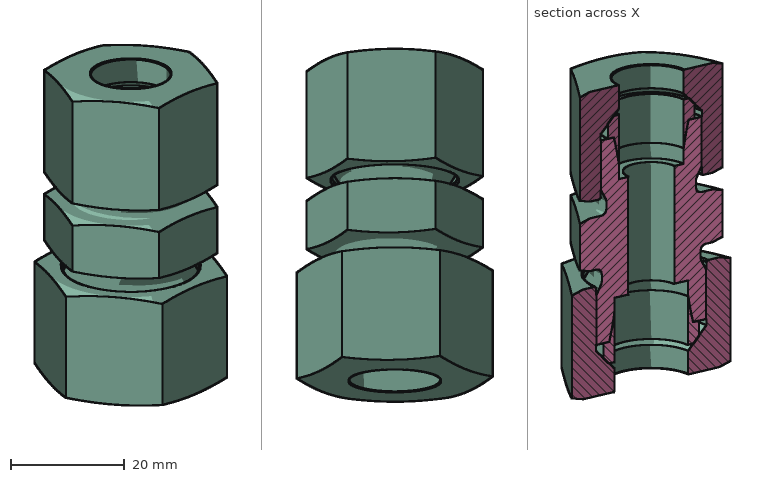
import cadquery as cq
import math


total_length = 57.0
nut_length = 20.5
nut_gap = 3.0
hex_bottom = nut_length + nut_gap
hex_top = total_length - hex_bottom

lower_tube_dia = 16.0
lower_thread_dia = 24.0
lower_nut_flats = 30.0

upper_tube_dia = 14.0
upper_thread_dia = 22.0
upper_nut_flats = 26.95

body_flats = upper_nut_flats
through_bore_dia = 10.0
spigot_length = 14.0
tube_stop_depth = 8.0
socket_half_angle = 12.0
neck_depth = 1.15
neck_length = 2.4
neck_round = 1.0
flank_angle = 30.0

corner_chamfer_angle = 15.0
chamfer_circle_inset = 0.1
bore_chamfer = 0.15
mouth_chamfer = 0.35
guide_length = 4.45

ring_back_wall = 1.1
ring_collar_growth = 4.95
ring_collar_wall = ring_collar_growth / 2

body_end_depth = hex_bottom - spigot_length


def chamfered_hexagon(flats, length):
    """Hexagonal bar from z = 0 with flats facing +-X and its corners turned off at both ends."""
    corner_radius = flats / math.sqrt(3)
    face_radius = flats / 2 - chamfer_circle_inset
    drop = (corner_radius - face_radius) * math.tan(math.radians(corner_chamfer_angle))
    bar = cq.Workplane("XY").polygon(6, 2 * corner_radius).extrude(length)
    bar = bar.rotate((0, 0, 0), (0, 0, 1), 90)
    turned_blank = (
        cq.Workplane("XZ")
        .moveTo(0, 0)
        .lineTo(face_radius, 0)
        .lineTo(corner_radius, drop)
        .lineTo(corner_radius, length - drop)
        .lineTo(face_radius, length)
        .lineTo(0, length)
        .close()
        .revolve(360, (0, 0, 0), (0, 1, 0))
    )
    return bar.intersect(turned_blank)


def revolved(points):
    """Solid of revolution about Z from (radius, z) points."""
    return cq.Workplane("XZ").polyline(points).close().revolve(360, (0, 0, 0), (0, 1, 0))




def union_nut(tube_dia, thread_dia, flats):
    """Hexagonal nut: chamfered tube bore, 45 degree seat for the ring, threaded bore."""
    tube_radius = tube_dia / 2
    thread_radius = thread_dia / 2
    seat_end = guide_length + thread_radius - tube_radius
    bore = revolved([
        (0, 0),
        (tube_radius + bore_chamfer, 0),
        (tube_radius, bore_chamfer),
        (tube_radius, guide_length),
        (thread_radius, seat_end),
        (thread_radius, nut_length - mouth_chamfer),
        (thread_radius + mouth_chamfer, nut_length),
        (0, nut_length),
    ])
    return chamfered_hexagon(flats, nut_length).cut(bore)


def socket_taper_length():
    """Length over which the body socket narrows from its mouth to the tube diameter."""
    return ring_back_wall / math.tan(math.radians(socket_half_angle))


def cutting_ring(tube_dia):
    """Ring whose back cone lies on the nut seat and whose nose fills the body socket taper."""
    tube_radius = tube_dia / 2
    back_radius = tube_radius + ring_back_wall
    collar_radius = tube_radius + ring_collar_wall
    return revolved([
        (tube_radius, guide_length + ring_back_wall),
        (back_radius, guide_length + ring_back_wall),
        (collar_radius, guide_length + ring_collar_wall),
        (collar_radius, body_end_depth),
        (back_radius, body_end_depth),
        (tube_radius, body_end_depth + socket_taper_length()),
    ])


def spigot(thread_dia):
    """Threaded end of the body with an undercut neck next to the hexagon.

    The neck is rounded into the hexagon face and into a conical flank up to the thread.
    """
    thread_radius = thread_dia / 2
    neck_radius = thread_radius - neck_depth
    flank = math.radians(flank_angle)
    flank_round_start = hex_bottom - neck_length
    hex_round_start = hex_bottom - neck_round

    def radius_on_round(angle):
        return neck_radius + neck_round * (1 - math.cos(angle))

    def rise_on_round(angle):
        return neck_round * math.sin(angle)

    flank_top_radius = radius_on_round(flank)
    flank_top = flank_round_start - rise_on_round(flank)
    flank_bottom = flank_top - (thread_radius - flank_top_radius) / math.tan(flank)
    half_flank = flank / 2
    half_right_angle = math.pi / 4
    return (
        cq.Workplane("XZ")
        .moveTo(0, body_end_depth)
        .lineTo(thread_radius, body_end_depth)
        .lineTo(thread_radius, flank_bottom)
        .lineTo(flank_top_radius, flank_top)
        .threePointArc(
            (radius_on_round(half_flank), flank_round_start - rise_on_round(half_flank)),
            (neck_radius, flank_round_start),
        )
        .lineTo(neck_radius, hex_round_start)
        .threePointArc(
            (radius_on_round(half_right_angle), hex_round_start + rise_on_round(half_right_angle)),
            (neck_radius + neck_round, hex_bottom),
        )
        .lineTo(0, hex_bottom)
        .close()
        .revolve(360, (0, 0, 0), (0, 1, 0))
    )


def tube_socket(tube_dia):
    """Tapered mouth and straight tube seat cut into one end of the body."""
    tube_radius = tube_dia / 2
    stop = body_end_depth + tube_stop_depth
    return revolved([
        (0, body_end_depth),
        (tube_radius + ring_back_wall, body_end_depth),
        (tube_radius, body_end_depth + socket_taper_length()),
        (tube_radius, stop),
        (0, stop),
    ])


def at_upper_end(part):
    """Turn a part built for the lower end over to the upper end."""
    return part.rotate((0, 0, 0), (1, 0, 0), 180).translate((0, 0, total_length))


body = chamfered_hexagon(body_flats, hex_top - hex_bottom).translate((0, 0, hex_bottom))
body = body.union(spigot(lower_thread_dia)).union(at_upper_end(spigot(upper_thread_dia)))
body = body.cut(tube_socket(lower_tube_dia)).cut(at_upper_end(tube_socket(upper_tube_dia)))
through_bore = cq.Workplane("XY").circle(through_bore_dia / 2).extrude(total_length)
body = body.cut(through_bore)

lower_nut = union_nut(lower_tube_dia, lower_thread_dia, lower_nut_flats)
upper_nut = at_upper_end(union_nut(upper_tube_dia, upper_thread_dia, upper_nut_flats))

lower_ring = cutting_ring(lower_tube_dia)
upper_ring = at_upper_end(cutting_ring(upper_tube_dia))

result = cq.Compound.makeCompound([
    body.val(),
    lower_nut.val(),
    upper_nut.val(),
    lower_ring.val(),
    upper_ring.val(),
])